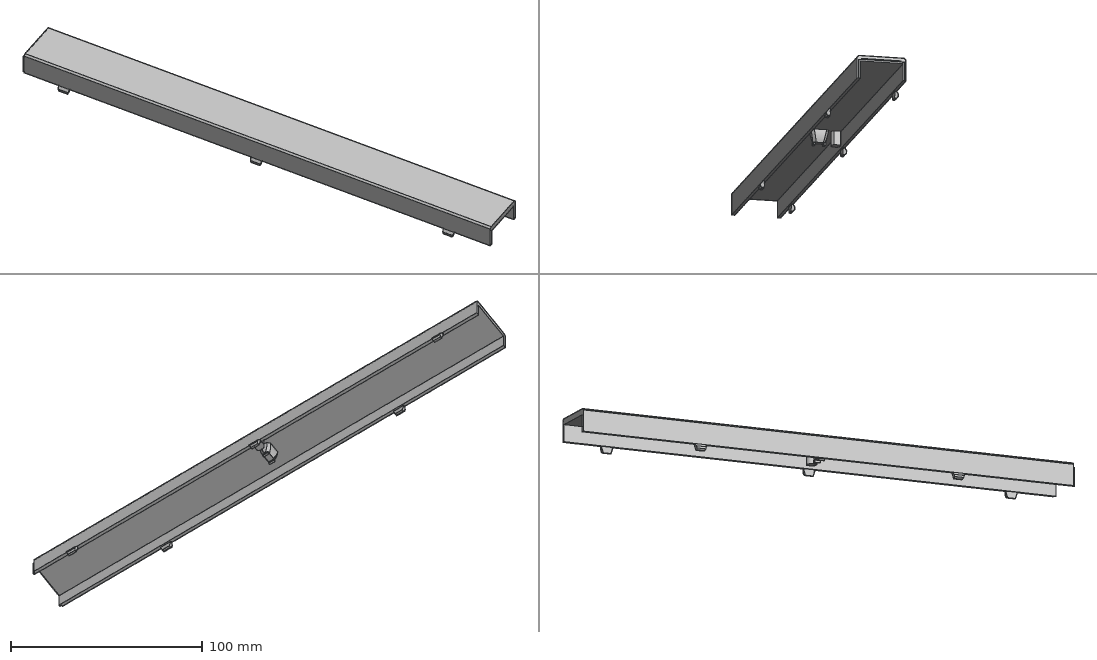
import cadquery as cq

length = 282.0
height = 15.8
cover_width = 26.2
cover_depth = 12.5
cover_wall = 0.8
edge_bevel = 1.0

liner_width = cover_width - 2 * cover_wall
liner_top = -2.4
liner_thickness = 0.8
liner_overhang = 1.0
web_underside = liner_top - liner_thickness
inner_width = liner_width - 2 * liner_thickness

slot_width = 21.2
slot_height = 0.8
slot_depth = 0.5

clip_root_width = 6.8
clip_tip_width = 4.5
hook_reach = 1.0
hook_top = -13.8
hook_bottom = -15.0
clip_tip_chamfer = 0.8
near_clip_spacing = 116.0
far_clip_spacing = 74.0

lug_root_width = 9.5
lug_tip_width = 6.8
lug_root_length = 6.8
lug_tip_length = 3.5
lug_side_bulge = 0.42
lug_bottom = -10.0
lug_corner_bevel = 1.5
foot_size = 1.0

post_diameter = 5.6
post_flat_depth = 0.5
post_y = -9.3
post_bottom = -10.7

x_start = -length / 2
x_end = length / 2
cover_start = x_start + liner_overhang
half_cover = cover_width / 2
half_root = clip_root_width / 2
half_tip = clip_tip_width / 2


def box_between(x0, x1, width, z0, z1):
    """Box centred on Y, given by its X and Z limits."""
    return cq.Workplane("XY").box(x1 - x0, width, z1 - z0, centered=(False, True, False)).translate((x0, 0, z0))


def channel():
    """Bevelled cover with the protruding liner inside it, open below."""
    cover = box_between(cover_start, x_end, cover_width, -cover_depth, 0)
    cover = cover.edges("|X and >Z").chamfer(edge_bevel)
    slot = box_between(cover_start, cover_start + slot_depth, slot_width, liner_top, liner_top + slot_height)
    liner = box_between(x_start, x_end, liner_width, -cover_depth, liner_top)
    hollow = box_between(x_start, x_end, inner_width, -cover_depth, web_underside)
    return cover.cut(slot).union(liner).cut(hollow)


def clip(x, side):
    """Tapered snap clip with an outward hook; side is +1 for the +Y wall and -1 for the -Y wall."""
    inner_y = liner_width / 2
    hook_y = half_cover + hook_reach
    section = [
        (inner_y, -cover_depth),
        (half_cover, -cover_depth),
        (hook_y, hook_top),
        (hook_y, hook_bottom),
        (hook_y - clip_tip_chamfer, -height),
        (inner_y, -height),
    ]
    tongue = (
        cq.Workplane("YZ")
        .polyline([(side * y, z) for y, z in section])
        .close()
        .extrude(half_root, both=True)
    )
    taper = (
        cq.Workplane("XZ")
        .polyline(
            [
                (-half_root, -cover_depth),
                (half_root, -cover_depth),
                (half_tip, -height),
                (-half_tip, -height),
            ]
        )
        .close()
        .extrude(hook_y, both=True)
    )
    return tongue.intersect(taper).translate((x, 0, 0))


def lug():
    """Lug narrowing downward, with bulged end faces and a foot at each side of its tip."""
    root = lug_root_length / 2
    tip = lug_tip_length / 2
    bulge_point = ((root + tip) / 2 + lug_side_bulge, (web_underside + lug_bottom) / 2)
    rounded = (
        cq.Workplane("XZ")
        .moveTo(-root, web_underside)
        .lineTo(root, web_underside)
        .threePointArc(bulge_point, (tip, lug_bottom))
        .lineTo(-tip, lug_bottom)
        .threePointArc((-bulge_point[0], bulge_point[1]), (-root, web_underside))
        .close()
        .extrude(lug_root_width, both=True)
    )
    tapered = (
        cq.Workplane("YZ")
        .polyline(
            [
                (-lug_root_width / 2, web_underside),
                (lug_root_width / 2, web_underside),
                (lug_tip_width / 2, lug_bottom),
                (-lug_tip_width / 2, lug_bottom),
            ]
        )
        .close()
        .extrude(root, both=True)
    )
    feet = (
        cq.Workplane("XY", origin=(0, 0, lug_bottom))
        .rarray(2.8, lug_tip_width - foot_size, 1, 2)
        .rect(lug_tip_length, foot_size)
        .extrude(-foot_size)
    )
    body = rounded.intersect(tapered)
    body = body.edges("(not #Z) and (not |X) and (not |Y)").chamfer(lug_corner_bevel)
    return body.union(feet)


def post():
    """Round post hanging from the web, with a flat facing -X."""
    plane = cq.Workplane("XY", origin=(0, post_y, web_underside))
    drop = post_bottom - web_underside
    flattening = plane.center(post_flat_depth, 0).rect(post_diameter, post_diameter).extrude(drop)
    return plane.circle(post_diameter / 2).extrude(drop).intersect(flattening)


result = channel().union(lug()).union(post())
for clip_x in (-near_clip_spacing, 0, near_clip_spacing):
    result = result.union(clip(clip_x, -1))
for clip_x in (-far_clip_spacing, far_clip_spacing):
    result = result.union(clip(clip_x, 1))